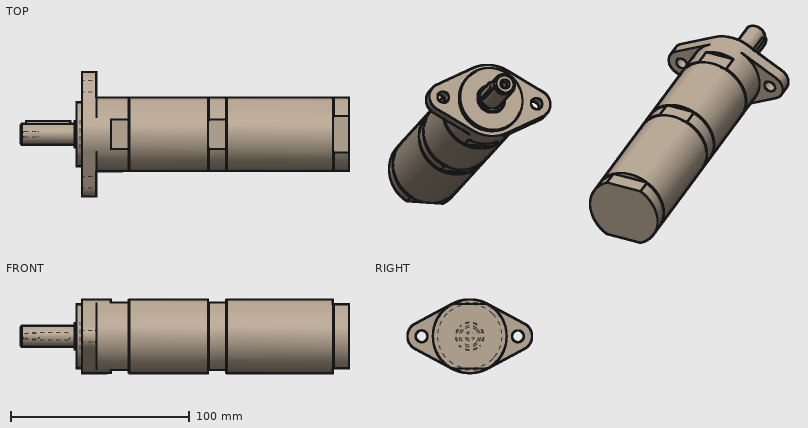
import cadquery as cq
import math

collar_front = 30.2
pilot_front = 31.3
flange_front = 34.5
flange_thickness = 8.0
hub_end = 50.7
neck_length = 10.0
first_barrel_start = hub_end + neck_length
first_barrel_length = 44.5
second_neck_start = first_barrel_start + first_barrel_length
second_barrel_start = second_neck_start + neck_length
second_barrel_length = 60.0
end_cap_start = second_barrel_start + second_barrel_length
overall_length = 184.2

body_diameter = 41.5
pilot_diameter = 36.0
joint_chamfer = 0.5
neck_across_flats = 38.0
end_cap_across_flats = 36.0

bolt_spacing = 54.0
bolt_hole_diameter = 6.5
ear_radius = 8.0

shaft_diameter = 12.0
shaft_chamfer = 1.0
collar_diameter = 14.95
seal_bore_diameter = 16.0
seal_bore_depth = 2.0
thread_hole_diameter = 3.24
thread_hole_depth = 10.0
drill_point_angle = 118.0
countersink_diameter = 5.2
countersink_angle = 60.0

key_width = 4.0
key_height = 4.0
key_length = 25.0
key_start = 3.0
key_top = 7.5


def cylinder(diameter, start, end):
    """Round bar on the X axis between two stations."""
    return cq.Workplane("YZ", origin=(start, 0, 0)).circle(diameter / 2).extrude(end - start)


def flat_section(start, end, across_flats, front_chamfer=0.0):
    """Body-diameter section with two wrench flats facing +Z and -Z."""
    length = end - start
    section = cylinder(body_diameter, start, end)
    if front_chamfer:
        section = section.faces("<X").chamfer(front_chamfer)
    envelope = cq.Workplane("XY").box(length, body_diameter, across_flats)
    return section.intersect(envelope.translate((start + length / 2, 0, 0)))


def barrel(start, end):
    """Full-diameter barrel with its front rim chamfered."""
    return cylinder(body_diameter, start, end).faces("<X").chamfer(joint_chamfer)


def flange_and_hub():
    """Round hub carrying two ears whose straight sides run tangent to it."""
    hub_radius = body_diameter / 2
    ear_center = bolt_spacing / 2
    sine = (hub_radius - ear_radius) / ear_center
    cosine = math.sqrt(1 - sine**2)
    hub_y = hub_radius * sine
    hub_z = hub_radius * cosine
    ear_y = ear_center + ear_radius * sine
    ear_z = ear_radius * cosine
    ear_tip = ear_center + ear_radius
    flange_plane = cq.Workplane("YZ", origin=(flange_front, 0, 0))
    ears = (
        flange_plane.moveTo(-hub_y, hub_z)
        .lineTo(hub_y, hub_z)
        .lineTo(ear_y, ear_z)
        .threePointArc((ear_tip, 0), (ear_y, -ear_z))
        .lineTo(hub_y, -hub_z)
        .lineTo(-hub_y, -hub_z)
        .lineTo(-ear_y, -ear_z)
        .threePointArc((-ear_tip, 0), (-ear_y, ear_z))
        .close()
        .pushPoints([(-ear_center, 0), (ear_center, 0)])
        .circle(bolt_hole_diameter / 2)
        .extrude(flange_thickness)
    )
    return cylinder(body_diameter, flange_front, hub_end).union(ears)


def housing():
    """Pilot, flange, hub, barrels, necks and end cap, with the seal bore."""
    sections = [
        flange_and_hub(),
        flat_section(hub_end, first_barrel_start, neck_across_flats),
        barrel(first_barrel_start, second_neck_start),
        flat_section(second_neck_start, second_barrel_start, neck_across_flats, joint_chamfer),
        barrel(second_barrel_start, end_cap_start),
        flat_section(end_cap_start, overall_length, end_cap_across_flats, joint_chamfer),
    ]
    body = cylinder(pilot_diameter, pilot_front, flange_front)
    for section in sections:
        body = body.union(section)
    return body.cut(cylinder(seal_bore_diameter, pilot_front, pilot_front + seal_bore_depth))


def shaft():
    """Shaft with a chamfered tip and the collar that sits in the seal bore."""
    shaft_end = pilot_front + seal_bore_depth
    outline = (
        cq.Workplane("XY")
        .lineTo(0, shaft_diameter / 2 - shaft_chamfer)
        .lineTo(shaft_chamfer, shaft_diameter / 2)
        .lineTo(collar_front, shaft_diameter / 2)
        .lineTo(collar_front, collar_diameter / 2)
        .lineTo(shaft_end, collar_diameter / 2)
        .lineTo(shaft_end, 0)
        .close()
    )
    return outline.revolve(360, (0, 0, 0), (1, 0, 0))


def thread_hole():
    """Countersunk blind hole in the shaft tip, with a drill point."""
    hole_radius = thread_hole_diameter / 2
    sink_radius = countersink_diameter / 2
    sink_depth = (sink_radius - hole_radius) / math.tan(math.radians(countersink_angle / 2))
    point_length = hole_radius / math.tan(math.radians(drill_point_angle / 2))
    outline = (
        cq.Workplane("XY")
        .lineTo(0, sink_radius)
        .lineTo(sink_depth, hole_radius)
        .lineTo(thread_hole_depth, hole_radius)
        .lineTo(thread_hole_depth + point_length, 0)
        .close()
    )
    return outline.revolve(360, (0, 0, 0), (1, 0, 0))


def key():
    """Round-ended key let into the shaft."""
    return (
        cq.Workplane("XZ", origin=(key_start + key_length / 2, key_top, 0))
        .slot2D(key_length, key_width)
        .extrude(key_height)
    )


result = housing().union(shaft()).union(key()).cut(thread_hole())